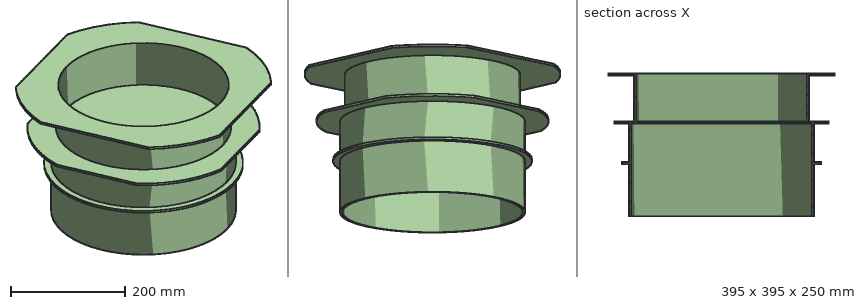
import cadquery as cq

total_height = 250.0
flange_thickness = 4.0
middle_flange_top = 166.0
collar_top = 95.0

wall_thickness = 4.5
upper_tube_outer_diameter = 307.0
lower_tube_outer_diameter = 324.0

top_flange_diameter = 447.0
top_flange_width = 395.0
middle_flange_diameter = 406.0
middle_flange_width = 375.0
collar_diameter = 348.0


def disc(diameter, bottom, top):
    """Vertical cylinder on the Z axis between two heights."""
    return cq.Workplane("XY").workplane(offset=bottom).circle(diameter / 2).extrude(top - bottom)


def flange(diameter, top):
    """Round plate whose upper face is at the given height."""
    return disc(diameter, top - flange_thickness, top)


def trimmed_flange(diameter, width, top):
    """Round plate cut to a square width, leaving arcs at the four corners."""
    square = (
        cq.Workplane("XY")
        .workplane(offset=top - flange_thickness)
        .rect(width, width)
        .extrude(flange_thickness)
    )
    return flange(diameter, top).intersect(square)


def bore(tube_outer_diameter, bottom, top):
    """Inside of a tube between two heights."""
    return disc(tube_outer_diameter - 2 * wall_thickness, bottom, top)


partition_bottom = middle_flange_top - flange_thickness

lower_tube = disc(lower_tube_outer_diameter, 0, partition_bottom)
upper_tube = disc(upper_tube_outer_diameter, middle_flange_top, total_height)

result = (
    lower_tube
    .union(trimmed_flange(middle_flange_diameter, middle_flange_width, middle_flange_top))
    .union(upper_tube)
    .union(trimmed_flange(top_flange_diameter, top_flange_width, total_height))
    .union(flange(collar_diameter, collar_top))
    .cut(bore(upper_tube_outer_diameter, middle_flange_top, total_height))
    .cut(bore(lower_tube_outer_diameter, 0, partition_bottom))
)